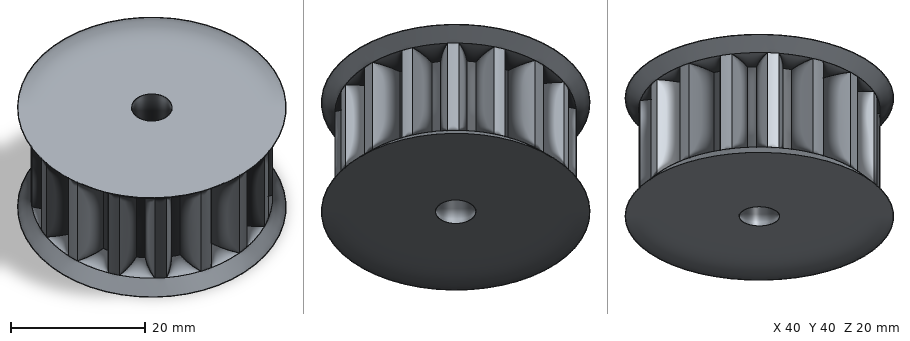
import cadquery as cq
import math

flange_diameter = 40.0
total_height = 20.0
flange_height = 2.0
bore_diameter = 6.0
tooth_count = 16
module = 2.0

pitch_radius = module * tooth_count / 2
addendum = module
dedendum = 1.25 * module
tip_radius = pitch_radius + addendum
root_radius = pitch_radius - dedendum
tooth_height = total_height - 2 * flange_height

tooth_spacing = 360.0 / tooth_count
tip_half_angle = tooth_spacing / 8
pitch_half_angle = tooth_spacing / 4
root_half_angle = tooth_spacing * 3 / 8


def polar(radius, angle):
    """Point at a radius and an angle in degrees, measured from +X."""
    radians = math.radians(angle)
    return (radius * math.cos(radians), radius * math.sin(radians))


def toothed_wheel():
    """Straight-toothed wheel, with one tooth centred on +X."""
    outline = cq.Workplane("XY", origin=(0, 0, flange_height))
    outline = outline.moveTo(*polar(root_radius, -root_half_angle))
    for tooth in range(tooth_count):
        center = tooth * tooth_spacing
        outline = (
            outline
            .threePointArc(
                polar(pitch_radius, center - pitch_half_angle),
                polar(tip_radius, center - tip_half_angle),
            )
            .threePointArc(
                polar(tip_radius, center),
                polar(tip_radius, center + tip_half_angle),
            )
            .threePointArc(
                polar(pitch_radius, center + pitch_half_angle),
                polar(root_radius, center + root_half_angle),
            )
            .threePointArc(
                polar(root_radius, center + tooth_spacing / 2),
                polar(root_radius, center + tooth_spacing - root_half_angle),
            )
        )
    return outline.close().extrude(tooth_height)


def bottom_flange():
    """Conical flange, widest at the bottom face and narrowing to the tooth tips."""
    half_section = [
        (0, 0),
        (flange_diameter / 2, 0),
        (tip_radius, flange_height),
        (0, flange_height),
    ]
    return cq.Workplane("XZ").polyline(half_section).close().revolve(360, (0, 0), (0, 1))


def top_flange():
    """The bottom flange mirrored about mid-height."""
    return bottom_flange().mirror("XY").translate((0, 0, total_height))


def bore():
    """Cylinder that cuts the through bore."""
    return cq.Workplane("XY").circle(bore_diameter / 2).extrude(total_height)


result = toothed_wheel().union(bottom_flange()).union(top_flange()).cut(bore())